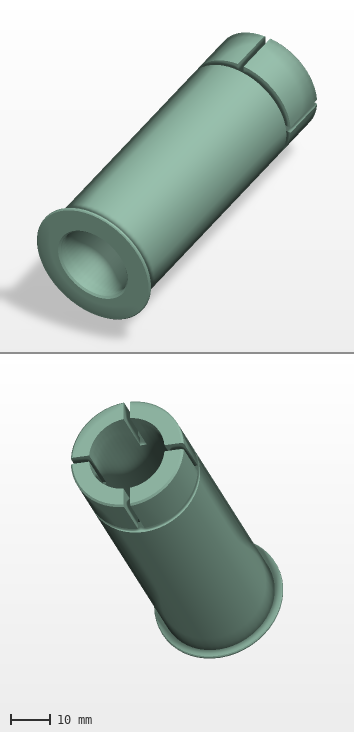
import cadquery as cq

length = 83.0
flange_diameter = 34.0
flange_thickness = 1.0
flange_chamfer = 0.25
body_diameter = 30.0
bore_diameter = 20.0
bore_chamfer = 0.5
head_length = 13.0
head_chamfer = 0.5
groove_diameter = 24.0
groove_width = 2.0
slot_width = 1.75

slot_depth = head_length + groove_width


def cylinder(diameter, start, end):
    """Solid cylinder along +Y between two stations."""
    plane = cq.Workplane("XZ", origin=(0, start, 0))
    return plane.circle(diameter / 2).extrude(start - end)


def make_sleeve():
    """Flanged tube with edge chamfers on both ends."""
    flange = cylinder(flange_diameter, 0, flange_thickness).edges().chamfer(flange_chamfer)
    body = cylinder(body_diameter, 0, length).faces(">Y").edges().chamfer(head_chamfer)
    bore = cylinder(bore_diameter, 0, length)
    tube = flange.union(body).cut(bore)
    return tube.faces("<Y").edges("%CIRCLE").edges(cq.selectors.RadiusNthSelector(0)).chamfer(bore_chamfer)


def make_groove():
    """Ring that separates the collet head from the body."""
    start = length - slot_depth
    end = start + groove_width
    return cylinder(body_diameter, start, end).cut(cylinder(groove_diameter, start, end))


def make_slots():
    """Two crossed slots that split the head into four jaws."""
    middle = (0, length - slot_depth / 2, 0)
    slot = cq.Workplane("XY").box(body_diameter, slot_depth, slot_width).translate(middle)
    return slot.union(slot.rotate((0, 0, 0), (0, 1, 0), 90))


result = make_sleeve().cut(make_groove()).cut(make_slots())